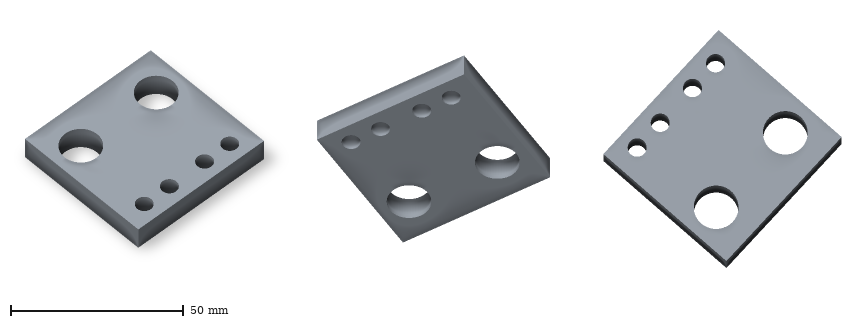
import cadquery as cq

plate_width = 48
plate_depth = 50
plate_thickness = 8

large_diameter = 13
large_x = -11
large_spacing = 30

small_diameter = 5.5
small_x = 18
inner_spacing = 14
outer_spacing = 34


def mirrored_pair(x, spacing):
    """Two points at the same X, symmetric about the XZ plane."""
    return [(x, -spacing / 2), (x, spacing / 2)]


large_points = mirrored_pair(large_x, large_spacing)
small_points = mirrored_pair(small_x, inner_spacing) + mirrored_pair(small_x, outer_spacing)

plate = cq.Workplane("XY").box(plate_width, plate_depth, plate_thickness)

result = (
    plate.faces(">Z").workplane(origin=(0, 0, 0))
    .pushPoints(large_points).hole(large_diameter)
    .faces(">Z").workplane(origin=(0, 0, 0))
    .pushPoints(small_points).hole(small_diameter)
)